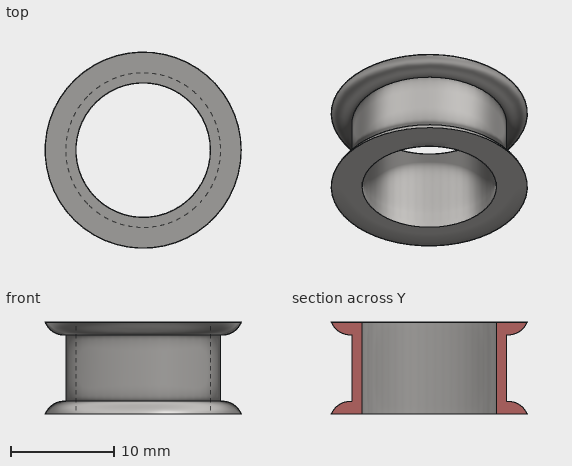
import cadquery as cq
import math

outer_diameter = 19
height = 8.9
bore_diameter = 13.0
barrel_diameter = 15.0
flange_thickness = 1.25
shoulder_width = 0.15

outer_radius = outer_diameter / 2
bore_radius = bore_diameter / 2
barrel_radius = barrel_diameter / 2
curve_start_radius = barrel_radius + shoulder_width
half_height = height / 2
shoulder_height = half_height - flange_thickness

curve_width = outer_radius - curve_start_radius
curve_radius = (curve_width**2 + flange_thickness**2) / (2 * flange_thickness)
half_angle = math.asin(curve_width / curve_radius) / 2
curve_mid_radius = curve_start_radius + curve_radius * math.sin(half_angle)
curve_mid_height = shoulder_height + curve_radius * (1 - math.cos(half_angle))

wall_section = (
    cq.Workplane("XZ")
    .moveTo(bore_radius, -half_height)
    .lineTo(outer_radius, -half_height)
    .threePointArc((curve_mid_radius, -curve_mid_height), (curve_start_radius, -shoulder_height))
    .lineTo(barrel_radius, -shoulder_height)
    .lineTo(barrel_radius, shoulder_height)
    .lineTo(curve_start_radius, shoulder_height)
    .threePointArc((curve_mid_radius, curve_mid_height), (outer_radius, half_height))
    .lineTo(bore_radius, half_height)
    .close()
)
result = wall_section.revolve(360, (0, 0, 0), (0, 1, 0))